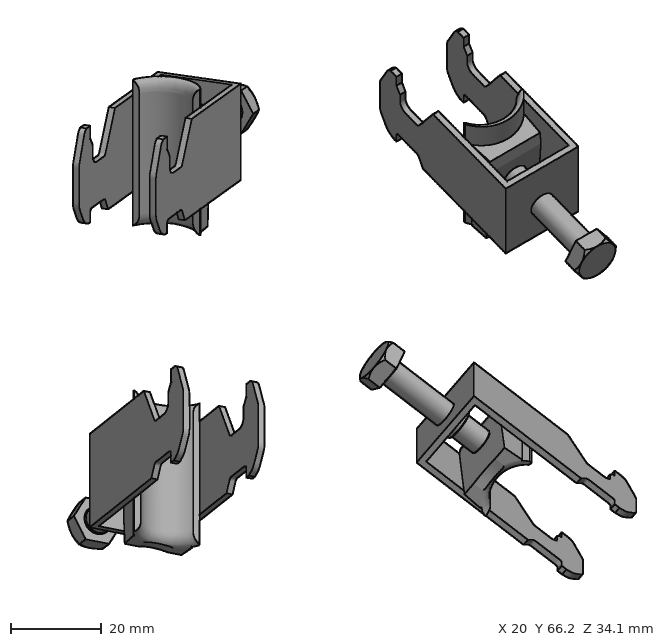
import cadquery as cq
import math


overall_length = 66.25

bolt_diameter = 6.0
head_across_flats = 10.0
head_height = 4.05
head_top_y = overall_length / 2
head_corner_chamfer = 0.8
shank_flare_length = 0.4
shank_flare = 0.2
bolt_tip_y = 2.65

bracket_width = 20.0
wall = 1.5
bracket_back_y = 12.9
bracket_top_z = 12.6
bracket_bottom_z = -9.8
upper_shoulder_y = -13.7
lower_shoulder_y = -17.4

neck_start_y = -19.15
neck_top_z = 3.2
neck_bottom_z = -6.75
neck_radius = 1.0
throat_y = -25.7
throat_radius = 2.05
throat_ramp_bottom_z = 7.7
throat_ramp_top_z = 9.55
lower_notch_radius = 0.8

jaw_back_y = -27.0
jaw_tip_y = head_top_y - overall_length
upper_jaw_flat_y = -29.15
upper_jaw_bend_y = -30.15
upper_jaw_bend_z = 12.0
upper_jaw_radius = 2.05
upper_tip_z = 5.25
lower_tip_z = -4.65
tip_radius = 2.9
lower_jaw_bend_y = -30.4
lower_jaw_bend_z = -8.9
lower_jaw_radius = 4.1
lower_jaw_flat_y = -28.35

sleeve_diameter = 7.2
sleeve_length = 2.3

saddle_width = 16.1
saddle_top_z = 16.55
saddle_bottom_z = -17.5
saddle_front_y = -5.1
outer_apex_y = 0.1
outer_radius = 9.3
seat_apex_y = -1.85
seat_radius = 8.0
mouth_height = 2.85
block_back_y = 3.3
block_top_z = 10.1
block_back_half_width = 6.9
block_front_half_width = 7.3
block_front_y = -3.05
block_crest_z = 6.6
block_top_back_y = 3.05
block_bottom_back_y = 1.8
relief_half_width = 3.7
relief_height = 0.4


def rounded_outline(corners):
    """Closed YZ outline through (y, z, radius) corners; a zero radius leaves the corner sharp."""
    points = [cq.Vector(y, z) for y, z, _ in corners]
    outline = cq.Workplane("YZ")
    for i, (_, _, radius) in enumerate(corners):
        corner = points[i]
        to_last = (points[i - 1] - corner).normalized()
        to_next = (points[(i + 1) % len(points)] - corner).normalized()
        half_angle = to_last.getAngle(to_next) / 2
        tangent_length = radius / math.tan(half_angle)
        arc_start = corner + to_last * tangent_length
        if i == 0:
            outline = outline.moveTo(arc_start.x, arc_start.y)
        else:
            outline = outline.lineTo(arc_start.x, arc_start.y)
        if radius > 0:
            bisector = (to_last + to_next).normalized()
            arc_middle = corner + bisector * (radius / math.sin(half_angle) - radius)
            arc_end = corner + to_next * tangent_length
            outline = outline.threePointArc((arc_middle.x, arc_middle.y), (arc_end.x, arc_end.y))
    return outline.close()


def rod(diameter, start_y, end_y):
    """Cylinder on the bolt axis."""
    return cq.Workplane("XZ", origin=(0, end_y, 0)).circle(diameter / 2).extrude(end_y - start_y)


def make_bracket():
    """U-shaped strap whose two side plates end in hooked jaws."""
    corners = [
        (bracket_back_y, bracket_bottom_z, 0),
        (bracket_back_y, bracket_top_z, 0),
        (upper_shoulder_y, bracket_top_z, 0),
        (neck_start_y, neck_top_z, neck_radius),
        (throat_y, neck_top_z, throat_radius),
        (throat_y, throat_ramp_bottom_z, 0),
        (jaw_back_y, throat_ramp_top_z, 0),
        (jaw_back_y, bracket_top_z, 0),
        (upper_jaw_flat_y, bracket_top_z, 0),
        (upper_jaw_bend_y, upper_jaw_bend_z, upper_jaw_radius),
        (jaw_tip_y, upper_tip_z, tip_radius),
        (jaw_tip_y, lower_tip_z, tip_radius),
        (lower_jaw_bend_y, lower_jaw_bend_z, lower_jaw_radius),
        (lower_jaw_flat_y, bracket_bottom_z, 0),
        (jaw_back_y, bracket_bottom_z, 0),
        (jaw_back_y, neck_bottom_z, lower_notch_radius),
        (neck_start_y, neck_bottom_z, neck_radius),
        (lower_shoulder_y, bracket_bottom_z, 0),
    ]
    plate = rounded_outline(corners).extrude(bracket_width / 2, both=True)
    inside_y = bracket_back_y - wall
    inside = cq.Workplane("XY").box(
        bracket_width - 2 * wall, inside_y - jaw_tip_y, bracket_top_z - bracket_bottom_z,
        centered=(True, False, False),
    ).translate((0, jaw_tip_y, bracket_bottom_z))
    return plate.cut(inside).cut(rod(bolt_diameter, inside_y, bracket_back_y))


def make_bolt():
    """Hexagon head with chamfered outer corners, and a plain shank that flares slightly below it."""
    head_corner_radius = head_across_flats / math.sqrt(3)
    head_base_y = head_top_y - head_height
    head = (
        cq.Workplane("XZ", origin=(0, head_top_y, 0))
        .polygon(6, 2 * head_corner_radius)
        .extrude(head_height)
    )
    chamfered_blank = rod(2 * head_corner_radius, head_base_y, head_top_y)
    chamfered_blank = chamfered_blank.faces(">Y").chamfer(head_corner_chamfer)
    shank_radius = bolt_diameter / 2
    shank = (
        cq.Workplane("YZ")
        .moveTo(bolt_tip_y, 0)
        .lineTo(bolt_tip_y, shank_radius)
        .lineTo(head_base_y - shank_flare_length, shank_radius)
        .lineTo(head_base_y, shank_radius + shank_flare)
        .lineTo(head_base_y, 0)
        .close()
        .revolve(360, (0, 0, 0), (1, 0, 0))
    )
    return head.intersect(chamfered_blank).union(shank)


def make_sleeve():
    """Plain ring that the shank passes through."""
    sleeve_back_y = bracket_back_y - wall
    sleeve_front_y = sleeve_back_y - sleeve_length
    ring = rod(sleeve_diameter, sleeve_front_y, sleeve_back_y)
    return ring.cut(rod(bolt_diameter, sleeve_front_y, sleeve_back_y))


def saddle_shell():
    """Upright curved plate with straight side edges, before the seat is cut."""
    half_width = saddle_width / 2
    side_y = outer_apex_y - outer_radius + math.sqrt(outer_radius**2 - half_width**2)
    return (
        cq.Workplane("XY", origin=(0, 0, saddle_bottom_z))
        .moveTo(-half_width, saddle_front_y)
        .lineTo(-half_width, side_y)
        .threePointArc((0, outer_apex_y), (half_width, side_y))
        .lineTo(half_width, saddle_front_y)
        .close()
        .extrude(saddle_top_z - saddle_bottom_z)
    )


def saddle_block():
    """Thrust block behind the shell; its sides splay and its back leans forward above and below a crest."""
    side_profile = (
        cq.Workplane("YZ")
        .polyline([
            (block_front_y, saddle_bottom_z),
            (block_bottom_back_y, saddle_bottom_z),
            (block_back_y, block_crest_z),
            (block_top_back_y, block_top_z),
            (block_front_y, block_top_z),
        ])
        .close()
        .extrude(block_front_half_width, both=True)
    )
    splayed_sides = (
        cq.Workplane("XY", origin=(0, 0, saddle_bottom_z))
        .polyline([
            (-block_back_half_width, block_back_y),
            (block_back_half_width, block_back_y),
            (block_front_half_width, block_front_y),
            (-block_front_half_width, block_front_y),
        ])
        .close()
        .extrude(block_top_z - saddle_bottom_z)
    )
    return side_profile.intersect(splayed_sides)


def saddle_seat():
    """Round pipe seat that flares out in a quarter ellipse at both ends."""
    shell_thickness = outer_apex_y - seat_apex_y
    flare_radius = seat_radius + shell_thickness
    return (
        cq.Workplane("XZ")
        .moveTo(0, saddle_bottom_z)
        .lineTo(flare_radius, saddle_bottom_z)
        .ellipseArc(shell_thickness, mouth_height, 180, 270, sense=-1)
        .lineTo(seat_radius, saddle_top_z - mouth_height)
        .ellipseArc(shell_thickness, mouth_height, 90, 180, sense=-1)
        .lineTo(0, saddle_top_z)
        .close()
        .revolve(360, (0, 0, 0), (0, 1, 0))
        .translate((0, seat_apex_y - seat_radius, 0))
    )


def saddle_relief():
    """Shallow arch across the middle of the saddle's bottom."""
    return (
        cq.Workplane("XZ", origin=(0, block_back_y, 0))
        .moveTo(-relief_half_width, saddle_bottom_z)
        .threePointArc((0, saddle_bottom_z + relief_height), (relief_half_width, saddle_bottom_z))
        .close()
        .extrude(block_back_y - saddle_front_y)
    )


def make_saddle():
    """Shell and thrust block in one piece, with a socket for the bolt tip."""
    body = saddle_shell().union(saddle_block())
    body = body.cut(saddle_seat()).cut(saddle_relief())
    return body.cut(rod(bolt_diameter, bolt_tip_y, block_back_y))


bracket = make_bracket()
bolt = make_bolt()
sleeve = make_sleeve()
saddle = make_saddle()

result = cq.Compound.makeCompound([bracket.val(), bolt.val(), sleeve.val(), saddle.val()])